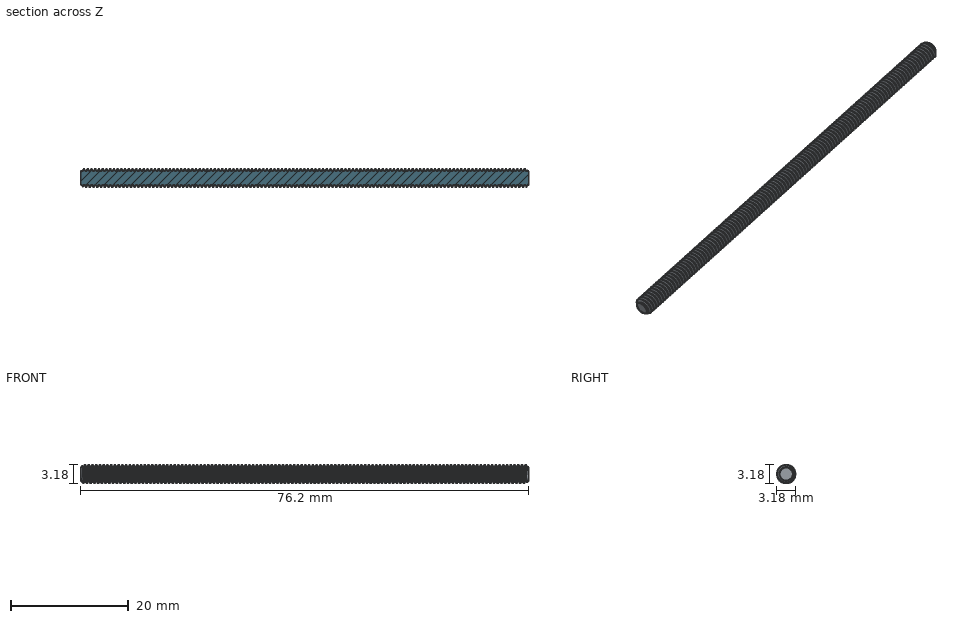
import cadquery as cq
import math

length = 76.2
major_diameter = 3.175
threads_per_inch = 40
inch = 25.4
pitch = inch / threads_per_inch

flank_angle = math.radians(30)
crest_width = pitch / 8
root_width = pitch / 8
flank_width = (pitch - crest_width - root_width) / 2
thread_depth = flank_width / math.tan(flank_angle)
crest_offset = 0.75 * pitch

end_diameter = 2.2

major_radius = major_diameter / 2
minor_radius = major_radius - thread_depth

blank_clearance = 0.1

seam_angle = 45
spare_turns = 2
turns = round(length / pitch) + 2 * spare_turns
winding_start = crest_offset - spare_turns * pitch

thread_corners = [
    (major_radius, 0),
    (major_radius, crest_width),
    (minor_radius, crest_width + flank_width),
    (minor_radius, pitch - flank_width),
    (major_radius, pitch),
]


def helix_turn(radius, height):
    """One turn of a right-hand helix about Z, starting over +X at the given height."""
    return cq.Wire.makeHelix(pitch, pitch, radius).translate(cq.Vector(0, 0, height)).Edges()[0]


def turn_faces(base):
    """Crest, flank, root and flank faces of the turn that starts at the base height."""
    helices = [helix_turn(radius, base + height) for radius, height in thread_corners]
    return [cq.Face.makeRuledSurface(low, high) for low, high in zip(helices, helices[1:])]


def end_faces(base):
    """Helicoid and flat step that close one end of the winding at the base height."""
    top = base + pitch
    axis = cq.Edge.makeLine(cq.Vector(0, 0, base), cq.Vector(0, 0, top))
    helicoid = cq.Face.makeRuledSurface(axis, helix_turn(major_radius, base))
    outline = [(0, base)] + [(radius, base + height) for radius, height in thread_corners] + [(0, top)]
    step = cq.Wire.makePolygon([cq.Vector(x, 0, z) for x, z in outline], close=True)
    return [helicoid, cq.Face.makeFromWires(step)]


def threaded_bar():
    """Overlong threaded bar standing along Z, sewn together from its faces."""
    faces = []
    for turn in range(turns):
        faces += turn_faces(winding_start + turn * pitch)
    faces += end_faces(winding_start)
    faces += end_faces(winding_start + turns * pitch)
    bar = cq.Solid.makeSolid(cq.Shell.makeShell(faces))
    return cq.Workplane(bar)


def chamfered_blank():
    """Smooth bar of the finished length whose end cones cut the chamfers."""
    blank_radius = major_radius + blank_clearance
    chamfer = blank_radius - end_diameter / 2
    return cq.Workplane("XY").circle(blank_radius).extrude(length).edges().chamfer(chamfer)


rod = chamfered_blank().intersect(threaded_bar(), clean=False)
rod = rod.rotate((0, 0, 0), (0, 0, 1), seam_angle)
result = rod.rotate((0, 0, 0), (0, 1, 0), 90).translate((-length / 2, 0, 0))